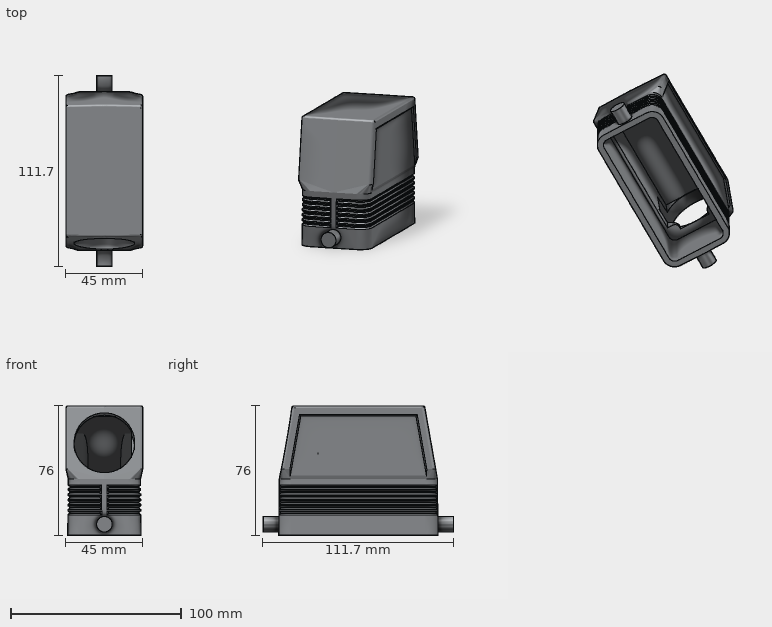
import cadquery as cq
import math

TOTAL_LENGTH = 111.7
TOTAL_HEIGHT = 76.0

BODY_WIDTH = 45.0
BODY_BOTTOM_Z = 38.9
BODY_CORNER_RADIUS = 1.5
TOP_FILLET = 1.3
END_LEAN = 10.0
BODY_PITCH = 1.0

SKIRT_TOP_Z = 33.1
SKIRT_TOP_HALF_WIDTH = 21.2
SKIRT_TOP_HALF_LENGTH = 46.4
SKIRT_CORNER_RADIUS = 7.0
SKIRT_DRAFT = 0.5
SKIRT_PITCH = 0.5

GROOVE_COUNT = 6
GROOVE_PITCH = 3.0
TOP_GROOVE_Z = 28.4
GROOVE_DEPTH = 1.0
GROOVE_FLOOR = 0.7
GROOVE_MOUTH = 2.3
BAR_WIDTH = 2.8

PANEL_DEPTH = 0.9
PANEL_MARGIN = 5.2

ENTRY_DIAMETER = 35.5
ENTRY_Z = 54.3
ENTRY_RELIEF_DEPTH = 19.8

END_WALL = 7.8
CAVITY_TOP_Z = 69.6
CAVITY_NEG_X = -18.1
CAVITY_POS_X = 15.9
POST_TOP_Z = 59.4
POST_FLAT_EDGE_X = 12.4
POST_ROUND = 2.9
MOUTH_TOP_Z = 35.4
MOUTH_WALL = 3.4
MOUTH_CORNER_RADIUS = 3.9

PIN_DIAMETER = 9.2
PIN_Z = 6.6
PIN_ROOT = 2.2

BODY_HALF_WIDTH = BODY_WIDTH / 2
LEAN_SLOPE = math.tan(math.radians(END_LEAN))
DRAFT_SLOPE = math.tan(math.radians(SKIRT_DRAFT))


def end_y(z):
    """Distance of the leaning end from the middle, on its centre line."""
    return SKIRT_TOP_HALF_LENGTH - (z - SKIRT_TOP_Z) * LEAN_SLOPE


def end_wall_y(z):
    """Distance of the inner face of the leaning end wall from the middle."""
    return end_y(z) - END_WALL / math.cos(math.radians(END_LEAN))


class Section:
    """Rounded rectangle at height z whose two ends fold at X = 0."""

    def __init__(self, half_width, half_length, radius, pitch, z):
        straight = half_width - radius
        shoulder = half_length - straight * math.tan(math.radians(pitch))
        bend = radius * math.sqrt(0.5)
        self.peak = (0, half_length, z)
        self.end_tangent = (straight, shoulder, z)
        self.bend = (straight + bend, shoulder - radius + bend, z)
        self.side_tangent = (half_width, shoulder - radius, z)


def flipped(point, sign_x, sign_y):
    x, y, z = point
    return cq.Vector(sign_x * x, sign_y * y, z)


def corner_arc(section, sign_x, sign_y):
    points = (section.end_tangent, section.bend, section.side_tangent)
    return cq.Edge.makeThreePointArc(*(flipped(p, sign_x, sign_y) for p in points))


def outline(section):
    edges = []
    for sx in (1, -1):
        side = section.side_tangent
        edges.append(cq.Edge.makeLine(flipped(side, sx, 1), flipped(side, sx, -1)))
        for sy in (1, -1):
            edges.append(corner_arc(section, sx, sy))
            peak = flipped(section.peak, sx, sy)
            tangent = flipped(section.end_tangent, sx, sy)
            edges.append(cq.Edge.makeLine(peak, tangent))
    return cq.Wire.combine(edges)[0]


def stacked(sections):
    return cq.Workplane(obj=cq.Solid.makeLoft([outline(s) for s in sections], True))


def body_section(z):
    return Section(BODY_HALF_WIDTH, end_y(z), BODY_CORNER_RADIUS, BODY_PITCH, z)


def skirt_section(z, inset=0.0):
    growth = (SKIRT_TOP_Z - z) * DRAFT_SLOPE - inset
    return Section(
        SKIRT_TOP_HALF_WIDTH + growth,
        SKIRT_TOP_HALF_LENGTH + growth,
        SKIRT_CORNER_RADIUS + growth,
        SKIRT_PITCH,
        z,
    )


def make_body():
    body = stacked([body_section(BODY_BOTTOM_Z), body_section(TOTAL_HEIGHT)])
    return body.faces(">Z").edges().fillet(TOP_FILLET)


def make_flare():
    """Faceted transition from the round-cornered skirt to the sharper body."""
    low = skirt_section(SKIRT_TOP_Z)
    high = body_section(BODY_BOTTOM_Z)

    def facet(*points):
        return cq.Face.makeFromWires(cq.Wire.makePolygon(points, close=True))

    faces = [cq.Face.makeFromWires(outline(low)), cq.Face.makeFromWires(outline(high))]
    for sx in (1, -1):
        low_side = [flipped(low.side_tangent, sx, sy) for sy in (1, -1)]
        high_side = [flipped(high.side_tangent, sx, sy) for sy in (-1, 1)]
        faces.append(facet(*low_side, *high_side))
        for sy in (1, -1):
            low_peak = flipped(low.peak, sx, sy)
            high_peak = flipped(high.peak, sx, sy)
            low_tangent = flipped(low.end_tangent, sx, sy)
            high_tangent = flipped(high.end_tangent, sx, sy)
            faces.append(facet(low_peak, high_peak, high_tangent))
            faces.append(facet(low_peak, high_tangent, low_tangent))
            faces.append(cq.Face.makeRuledSurface(corner_arc(low, sx, sy), corner_arc(high, sx, sy)))
    return cq.Workplane(obj=cq.Solid.makeSolid(cq.Shell.makeShell(faces)))


def make_skirt():
    envelope = stacked([skirt_section(0), skirt_section(SKIRT_TOP_Z)])
    sections = [skirt_section(SKIRT_TOP_Z)]
    for i in range(GROOVE_COUNT):
        z = TOP_GROOVE_Z - i * GROOVE_PITCH
        sections.append(skirt_section(z + GROOVE_MOUTH / 2))
        sections.append(skirt_section(z + GROOVE_FLOOR / 2, GROOVE_DEPTH))
        sections.append(skirt_section(z - GROOVE_FLOOR / 2, GROOVE_DEPTH))
        sections.append(skirt_section(z - GROOVE_MOUTH / 2))
    sections.append(skirt_section(0))

    tip_y = SKIRT_TOP_HALF_LENGTH + SKIRT_TOP_Z * DRAFT_SLOPE
    spread = 2 * GROOVE_DEPTH
    half_tip = BAR_WIDTH / 2
    bar = (
        cq.Workplane("XY")
        .polyline([
            (-half_tip, tip_y),
            (half_tip, tip_y),
            (half_tip + spread, tip_y - spread),
            (-half_tip - spread, tip_y - spread),
        ])
        .close()
        .extrude(SKIRT_TOP_Z)
    )
    bars = bar.union(bar.mirror("XZ")).intersect(envelope)
    return stacked(sections).union(bars)


def make_panel_cutter():
    """Tapered pocket on the +X side, open at its lower edge onto the flare."""
    def panel_outline(x, shrink):
        top = TOTAL_HEIGHT - PANEL_MARGIN - shrink
        margin = PANEL_MARGIN + shrink
        points = [
            (x, end_y(SKIRT_TOP_Z) - margin, SKIRT_TOP_Z),
            (x, end_y(top) - margin, top),
            (x, margin - end_y(top), top),
            (x, margin - end_y(SKIRT_TOP_Z), SKIRT_TOP_Z),
        ]
        return cq.Wire.makePolygon([cq.Vector(*p) for p in points], close=True)

    rim = panel_outline(BODY_HALF_WIDTH, 0)
    floor = panel_outline(BODY_HALF_WIDTH - PANEL_DEPTH, PANEL_DEPTH)
    return cq.Workplane(obj=cq.Solid.makeLoft([rim, floor], True))


def make_pin():
    root_y = SKIRT_TOP_HALF_LENGTH - PIN_ROOT
    return (
        cq.Workplane("XZ", origin=(0, -root_y, PIN_Z))
        .circle(PIN_DIAMETER / 2)
        .extrude(TOTAL_LENGTH / 2 - root_y)
    )


def make_post(sign_x, sign_y):
    """Upright corner post whose free edge is rounded."""
    width = BODY_HALF_WIDTH - POST_FLAT_EDGE_X + POST_ROUND
    length = SKIRT_TOP_HALF_LENGTH - end_wall_y(POST_TOP_Z)
    centre_x = sign_x * (BODY_HALF_WIDTH - width / 2)
    centre_y = sign_y * (SKIRT_TOP_HALF_LENGTH - length / 2)
    return (
        cq.Workplane("XY", origin=(centre_x, centre_y, MOUTH_TOP_Z))
        .rect(width, length)
        .extrude(POST_TOP_Z - MOUTH_TOP_Z)
        .edges("|Z")
        .edges(cq.selectors.NearestToPointSelector((0, 0, MOUTH_TOP_Z)))
        .fillet(POST_ROUND)
    )


def make_cavity():
    """Upper chamber with leaning end walls and an upright post in each corner."""
    width = CAVITY_POS_X - CAVITY_NEG_X
    chamber = (
        cq.Workplane("YZ", origin=(CAVITY_NEG_X, 0, 0))
        .polyline([
            (-end_wall_y(MOUTH_TOP_Z), MOUTH_TOP_Z),
            (end_wall_y(MOUTH_TOP_Z), MOUTH_TOP_Z),
            (end_wall_y(CAVITY_TOP_Z), CAVITY_TOP_Z),
            (-end_wall_y(CAVITY_TOP_Z), CAVITY_TOP_Z),
        ])
        .close()
        .extrude(width)
    )
    for sign_x in (1, -1):
        for sign_y in (1, -1):
            chamber = chamber.cut(make_post(sign_x, sign_y))
    mouth = (
        cq.Workplane("XY")
        .rect(2 * (SKIRT_TOP_HALF_WIDTH - MOUTH_WALL), 2 * (SKIRT_TOP_HALF_LENGTH - MOUTH_WALL))
        .extrude(MOUTH_TOP_Z)
        .edges("|Z")
        .fillet(MOUTH_CORNER_RADIUS)
    )
    return chamber.union(mouth)


def make_entry():
    """Bore square to the leaning end, running on at both sides to clear the posts."""
    lean = math.radians(END_LEAN)
    axis = cq.Vector(0, math.cos(lean), -math.sin(lean))
    centre = cq.Vector(0, -end_y(ENTRY_Z), ENTRY_Z)

    def bore(depth):
        lead_in = 1.1
        start = centre - axis * lead_in
        cylinder = cq.Solid.makeCylinder(ENTRY_DIAMETER / 2, depth + lead_in, start, axis)
        return cq.Workplane(obj=cylinder)

    post_inner_x = POST_FLAT_EDGE_X - POST_ROUND
    middle = cq.Workplane("XY").box(2 * post_inner_x, TOTAL_LENGTH, 2 * TOTAL_HEIGHT)
    return bore(END_WALL).union(bore(ENTRY_RELIEF_DEPTH).cut(middle))


panel = make_panel_cutter()
pin = make_pin()

result = (
    make_skirt()
    .union(make_flare())
    .union(make_body())
    .cut(panel)
    .cut(panel.mirror("YZ"))
    .cut(make_cavity())
    .cut(make_entry())
    .union(pin)
    .union(pin.mirror("XZ"))
    .clean()
)